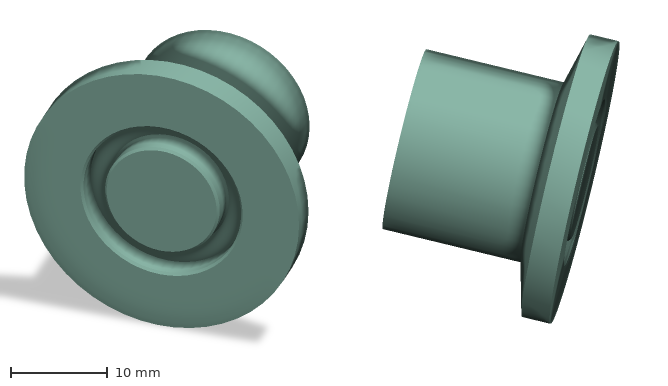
import cadquery as cq
import math

flange_radius = 30.0 / 2
flange_rim_thickness = 3.0
flange_back_angle = 15.0
tube_radius = 19.1 / 2
total_length = 19.1

recess_radius = 17.2 / 2
recess_depth = 2.5
pin_radius = 12.5 / 2
edge_chamfer = 0.25

cone_length = (flange_radius - tube_radius) * math.tan(math.radians(flange_back_angle))
cone_end = flange_rim_thickness + cone_length


def revolve_about_y(profile):
    """Turn a closed (radius, y) profile about the Y axis."""
    return cq.Workplane("XY").polyline(profile).close().revolve(360, (0, 0, 0), (0, 1, 0))


def make_body():
    """Solid flange and tube, with the front face at y = 0."""
    return revolve_about_y([
        (0, 0),
        (flange_radius, 0),
        (flange_radius, flange_rim_thickness),
        (tube_radius, cone_end),
        (tube_radius, total_length),
        (0, total_length),
    ])


def make_recess():
    """Ring of removed material that leaves the pin standing."""
    return revolve_about_y([
        (pin_radius - edge_chamfer, 0),
        (pin_radius, edge_chamfer),
        (pin_radius, recess_depth - edge_chamfer),
        (pin_radius + edge_chamfer, recess_depth),
        (recess_radius, recess_depth),
        (recess_radius, edge_chamfer),
        (recess_radius + edge_chamfer, 0),
    ])


result = make_body().cut(make_recess())